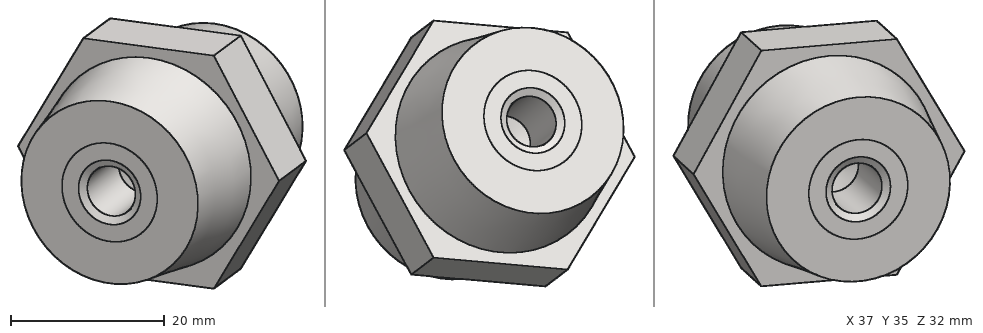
import cadquery as cq
import math

hex_across_corners = 36.95
overall_length = 35.0
collar_thickness = 9.0

boss_root_diameter = 29.0
boss_end_diameter = 25.0

insert_diameter = 13.5
insert_length = 13.0
bore_diameter = 6.8
bore_depth = 11.0
countersink_diameter = 8.8
countersink_angle = 120.0
drill_point_angle = 150.0

half_length = overall_length / 2
half_collar = collar_thickness / 2
end_sides = (-1, 1)


def cone_height(radial_step, included_angle):
    """Axial height that a cone takes to change its radius by radial_step."""
    return radial_step / math.tan(math.radians(included_angle / 2))


def make_collar():
    """Hexagonal prism along Y with its corners on the X axis."""
    return (
        cq.Workplane("XZ")
        .polygon(6, hex_across_corners)
        .extrude(half_collar, both=True)
    )


def make_boss(side):
    """Round boss with a conical flank that widens from the end face to the collar."""
    root_radius = boss_root_diameter / 2
    end_radius = boss_end_diameter / 2
    return (
        cq.Workplane("YZ")
        .lineTo(0, root_radius)
        .lineTo(side * half_collar, root_radius)
        .lineTo(side * half_length, end_radius)
        .lineTo(side * half_length, 0)
        .close()
        .revolve(360, (0, 0), (1, 0))
    )


def make_insert_blank(side):
    """Plain cylinder filling one insert seat, flush with the boss end face."""
    return (
        cq.Workplane("XZ", origin=(0, side * half_length, 0))
        .circle(insert_diameter / 2)
        .extrude(side * insert_length)
    )


def make_bore(side):
    """Blind drilled bore with a countersunk mouth and a conical bottom."""
    bore_radius = bore_diameter / 2
    countersink_radius = countersink_diameter / 2
    shoulder = half_length - cone_height(countersink_radius - bore_radius, countersink_angle)
    bore_floor = half_length - bore_depth
    bore_tip = bore_floor - cone_height(bore_radius, drill_point_angle)
    return (
        cq.Workplane("XY")
        .moveTo(0, side * bore_tip)
        .lineTo(bore_radius, side * bore_floor)
        .lineTo(bore_radius, side * shoulder)
        .lineTo(countersink_radius, side * half_length)
        .lineTo(0, side * half_length)
        .close()
        .revolve(360, (0, 0), (0, 1))
    )


def make_housing():
    """Collar and both bosses, with a seat in each end for an insert."""
    housing = make_collar()
    for side in end_sides:
        housing = housing.union(make_boss(side))
    for side in end_sides:
        housing = housing.cut(make_insert_blank(side))
    return housing


def make_insert(side):
    """Bored insert at one end of the housing."""
    return make_insert_blank(side).cut(make_bore(side))


housing = make_housing()
inserts = [make_insert(side) for side in end_sides]

result = cq.Compound.makeCompound([housing.val(), *[insert.val() for insert in inserts]])